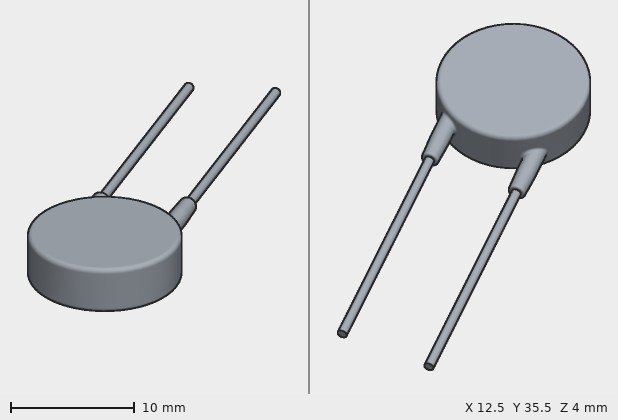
import cadquery as cq

case_diameter = 12.5
case_height = 4.0
case_edge_radius = 0.4

overall_length = 35.5
lead_spacing = 7.5
lead_height_offset = 0.5
wire_diameter = 0.8
wire_exposed_length = 20.0

sleeve_diameter = 1.6
sleeve_tip_diameter = 1.42
sleeve_taper_length = 2.15
sleeve_tip_edge_radius = 0.15
sleeve_root_fillet = 0.2

case_radius = case_diameter / 2
wire_end_y = overall_length - case_radius
sleeve_tip_y = wire_end_y - wire_exposed_length
taper_start_y = sleeve_tip_y - sleeve_taper_length
root_y = case_radius / 2


def make_case():
    """Flat disc with both rims rounded."""
    disc = cq.Workplane("XY", origin=(0, 0, -case_height / 2)).circle(case_radius).extrude(case_height)
    return disc.faces("|Z").edges().fillet(case_edge_radius)


def make_lead():
    """Sleeve and wire along Y: straight root, slight taper to a rounded tip, then the bare wire."""
    root_radius = sleeve_diameter / 2
    tip_radius = sleeve_tip_diameter / 2
    sleeve = (
        cq.Workplane("YZ")
        .moveTo(root_y, 0)
        .lineTo(root_y, root_radius)
        .lineTo(taper_start_y, root_radius)
        .lineTo(sleeve_tip_y, tip_radius)
        .lineTo(sleeve_tip_y, 0)
        .close()
        .revolve(360, (0, 0, 0), (1, 0, 0))
    )
    sleeve = sleeve.faces(">Y").edges().fillet(sleeve_tip_edge_radius)
    wire = sleeve.faces(">Y").workplane(centerOption="CenterOfMass").circle(wire_diameter / 2)
    return wire.extrude(wire_exposed_length)


def attach_lead(body, side):
    """Join one lead to the body and blend its sleeve into the case wall."""
    lead_x = side * lead_spacing / 2
    lead_z = side * lead_height_offset
    joined = body.union(make_lead().translate((lead_x, 0, lead_z)))

    seam_box = cq.selectors.BoxSelector(
        (lead_x - sleeve_diameter, root_y, lead_z - sleeve_diameter),
        (lead_x + sleeve_diameter, case_radius, lead_z + sleeve_diameter),
        boundingbox=True,
    )
    return joined.edges(seam_box).fillet(sleeve_root_fillet)


result = make_case()
for side in (-1, 1):
    result = attach_lead(result, side)